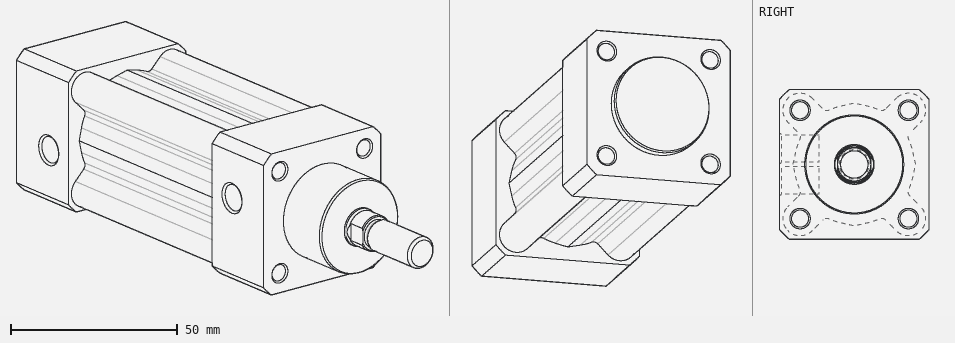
import cadquery as cq
import math


rear_cap_start = 4.0
rear_cap_end = 29.0
front_cap_start = 98.2
front_cap_end = 123.0
nose_end = 141.0
rod_tip = 171.0

cap_side = 45.0
cap_corner_radius = 29.8
boss_radius = 14.9
boss_lead_length = 0.9
boss_lead_depth = 0.3

screw_offset = 16.2
screw_radius = 2.5
screw_depth = 15.4
screw_countersink = 0.5

port_radius = 4.1
port_depth = 12.0
port_countersink = 0.7
port_inset = 9.5
port_height = 4.8

tube_radius = 18.0
lobe_radius = 5.1
valley_radius = 1.7
ridge_half_width = 4.0

rod_radius = 6.0
shank_radius = 5.6
thread_radius = 5.0
neck_radius = 4.5
taper_start = 141.8
taper_end = 142.8
shank_end = 148.8
neck_end = 150.0
thread_start = 151.0
shank_chamfer = 0.3
tip_chamfer = 0.9
flat_start = 143.1
flat_distance = 5.0


def drill(point, direction, radius, depth, countersink):
    """Blind hole with a 45 degree countersunk mouth, as a solid to cut away."""
    start = cq.Vector(*point)
    along = cq.Vector(*direction)
    bore = cq.Solid.makeCylinder(radius, depth, start, along)
    mouth = cq.Solid.makeCone(radius + countersink, radius, countersink, start, along)
    return bore.fuse(mouth)


def cap_block(start, end):
    """Square end cap with its four corners turned round about the cylinder axis."""
    base = cq.Workplane("YZ", origin=(start, 0, 0))
    square = base.rect(cap_side, cap_side).extrude(end - start)
    turned = base.circle(cap_corner_radius).extrude(end - start)
    return square.intersect(turned)


def boss(cap_face, boss_end):
    """Round boss from a cap's outer face to its free end, which has a slim lead-in taper."""
    outward = 1 if boss_end > cap_face else -1
    return (
        cq.Workplane("XY")
        .moveTo(cap_face, 0)
        .lineTo(cap_face, boss_radius)
        .lineTo(boss_end - outward * boss_lead_length, boss_radius)
        .lineTo(boss_end, boss_radius - boss_lead_depth)
        .lineTo(boss_end, 0)
        .close()
        .revolve(360, (0, 0, 0), (1, 0, 0))
    )


def end_cap(start, end, outer_face, boss_end, port_x, port_z):
    """End cap with its boss, four screw holes in the outer face and one air port."""
    cap = cap_block(start, end).union(boss(outer_face, boss_end))
    inward = 1 if boss_end < outer_face else -1
    for y in (-screw_offset, screw_offset):
        for z in (-screw_offset, screw_offset):
            cap = cap.cut(
                drill((outer_face, y, z), (inward, 0, 0), screw_radius, screw_depth, screw_countersink)
            )
    port_mouth = (port_x, -cap_side / 2, port_z)
    return cap.cut(drill(port_mouth, (0, 1, 0), port_radius, port_depth, port_countersink))


def rotated(point, angle):
    """Point turned about the section's centre by an angle in radians."""
    u, v = point
    return (
        u * math.cos(angle) - v * math.sin(angle),
        u * math.sin(angle) + v * math.cos(angle),
    )


def barrel_section():
    """Closed section: four diagonal lobes, with a ridged stretch of round tube between each two."""
    quarter = math.pi / 2
    diagonal = math.pi / 4

    lobe_distance = screw_offset * math.sqrt(2)
    valley_across = lobe_radius + valley_radius
    valley_along = math.sqrt((tube_radius + valley_radius) ** 2 - valley_across**2)
    valley_angle = math.atan2(valley_across, valley_along)
    to_tube = tube_radius / (tube_radius + valley_radius)
    middle_angle = (valley_angle + math.pi - quarter) / 2 + math.pi
    valley_middle = (
        valley_along + valley_radius * math.cos(middle_angle),
        valley_across + valley_radius * math.sin(middle_angle),
    )
    ridge_angle = math.asin(ridge_half_width / tube_radius)
    ridge_start = rotated((tube_radius, 0), diagonal - ridge_angle)
    ridge_peak = rotated((tube_radius / math.cos(ridge_angle), 0), diagonal)
    tube_start = (valley_along * to_tube, valley_across * to_tube)
    tube_middle = rotated((tube_radius, 0), (valley_angle + diagonal - ridge_angle) / 2)

    def mirrored(point):
        return (point[0], -point[1])

    section = None
    for turn in range(4):
        lobe_angle = diagonal + turn * quarter

        def place(point):
            return rotated(point, lobe_angle)

        if section is None:
            section = cq.Workplane("YZ", origin=(rear_cap_end, 0, 0)).moveTo(*place(mirrored(ridge_peak)))
        section = (
            section.lineTo(*place(mirrored(ridge_start)))
            .threePointArc(place(mirrored(tube_middle)), place(mirrored(tube_start)))
            .threePointArc(place(mirrored(valley_middle)), place((valley_along, -lobe_radius)))
            .lineTo(*place((lobe_distance, -lobe_radius)))
            .threePointArc(place((lobe_distance + lobe_radius, 0)), place((lobe_distance, lobe_radius)))
            .lineTo(*place((valley_along, lobe_radius)))
            .threePointArc(place(valley_middle), place(tube_start))
            .threePointArc(place(tube_middle), place(ridge_start))
            .lineTo(*place(ridge_peak))
        )
    return section.close()


def piston_rod():
    """Turned rod end with a neck, a plain thread cylinder and two wrench flats."""
    rod = (
        cq.Workplane("XY")
        .moveTo(nose_end, 0)
        .lineTo(nose_end, rod_radius)
        .lineTo(taper_start, rod_radius)
        .lineTo(taper_end, shank_radius)
        .lineTo(shank_end - shank_chamfer, shank_radius)
        .lineTo(shank_end, shank_radius - shank_chamfer)
        .lineTo(shank_end, neck_radius)
        .lineTo(neck_end, neck_radius)
        .tangentArcPoint((thread_start, thread_radius), relative=False)
        .lineTo(rod_tip - tip_chamfer, thread_radius)
        .lineTo(rod_tip, thread_radius - tip_chamfer)
        .lineTo(rod_tip, 0)
        .close()
        .revolve(360, (0, 0, 0), (1, 0, 0))
    )
    for side in (-1, 1):
        flat = (
            cq.Workplane("XY", origin=(0, 0, -rod_radius))
            .moveTo(flat_start, side * flat_distance)
            .lineTo(shank_end, side * flat_distance)
            .lineTo(shank_end, side * rod_radius)
            .lineTo(flat_start - (rod_radius - flat_distance), side * rod_radius)
            .close()
            .extrude(2 * rod_radius)
        )
        rod = rod.cut(flat)
    return rod


rear_cap = end_cap(
    rear_cap_start, rear_cap_end, rear_cap_start, 0, rear_cap_end - port_inset, -port_height
)
front_cap = end_cap(
    front_cap_start, front_cap_end, front_cap_end, nose_end, front_cap_start + port_inset, port_height
)
barrel = barrel_section().extrude(front_cap_start - rear_cap_end)
rod = piston_rod()

result = cq.Compound.makeCompound([rear_cap.val(), barrel.val(), front_cap.val(), rod.val()])